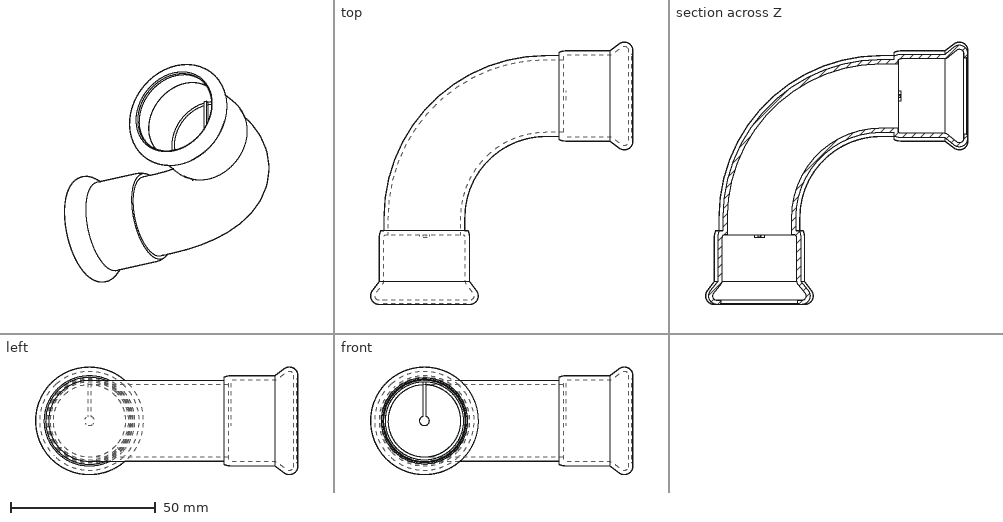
import cadquery as cq
import math

overall_size = 90.6

pipe_radius = 28.0 / 2
pipe_bore_radius = 25.0 / 2
wall = pipe_radius - pipe_bore_radius

socket_radius = 31.3 / 2
socket_bore_radius = 28.2 / 2
bead_radius = 37.2 / 2
mouth_radius = 28.8 / 2
mouth_chamfer = 0.45
cone_end = 8.0
shoulder_start = 23.1
socket_end = 25.55
shoulder_drop = 0.5
stop_start = socket_end - wall
stop_radius = 27.0 / 2
tangent_length = 30.1

bead_arc_radius = bead_radius - socket_radius
groove_arc_radius = bead_arc_radius - wall
cone_angle = math.acos(bead_arc_radius / (cone_end - bead_arc_radius))

marker_disc_radius = 3.35 / 2
marker_bar_width = 1.1
marker_thickness = 0.9

axis_length = overall_size - bead_radius
bend_radius = axis_length - tangent_length

ends = [
    cq.Plane(origin=(0, -axis_length, 0), xDir=(0, 0, 1), normal=(0, 1, 0)),
    cq.Plane(origin=(axis_length, 0, 0), xDir=(0, 0, 1), normal=(-1, 0, 0)),
]


def bead_point(arc_radius, angle):
    """Point (radius, depth) on an arc around the bead centre, at an angle from the inward axis."""
    return (
        socket_radius + arc_radius * math.sin(angle),
        bead_arc_radius + arc_radius * math.cos(angle),
    )


def shoulder_arc_middle(start, end):
    """Middle of an arc that leaves a cylinder tangentially at start and closes in to end."""
    drop = start[0] - end[0]
    length = end[1] - start[1]
    radius = (drop**2 + length**2) / (2 * drop)
    half_sweep = math.atan2(drop, length)
    return (
        start[0] - radius * (1 - math.cos(half_sweep)),
        start[1] + radius * math.sin(half_sweep),
    )


def make_end(plane):
    """Straight pipe stub and socket, revolved from a (radius, depth) profile."""
    outer_shoulder = (socket_radius, shoulder_start)
    outer_shoulder_end = (socket_radius - shoulder_drop, socket_end)
    inner_shoulder = (socket_bore_radius, shoulder_start)
    inner_shoulder_end = (stop_radius, stop_start)
    arc_middle_angle = (cone_angle + math.pi) / 2
    bend_start = (socket_radius - wall, cone_end)
    bend_middle = (
        socket_radius - wall * math.cos((math.pi / 2 - cone_angle) / 2),
        cone_end - wall * math.sin((math.pi / 2 - cone_angle) / 2),
    )
    bend_end = (
        socket_radius - wall * math.sin(cone_angle),
        cone_end - wall * math.cos(cone_angle),
    )
    profile = (
        cq.Workplane("XZ")
        .moveTo(mouth_radius, mouth_chamfer)
        .lineTo(mouth_radius + mouth_chamfer, 0)
        .lineTo(socket_radius, 0)
        .threePointArc(bead_point(bead_arc_radius, arc_middle_angle), bead_point(bead_arc_radius, cone_angle))
        .lineTo(socket_radius, cone_end)
        .lineTo(*outer_shoulder)
        .threePointArc(shoulder_arc_middle(outer_shoulder, outer_shoulder_end), outer_shoulder_end)
        .lineTo(pipe_radius, socket_end)
        .lineTo(pipe_radius, tangent_length)
        .lineTo(pipe_bore_radius, tangent_length)
        .lineTo(pipe_bore_radius, stop_start)
        .lineTo(*inner_shoulder_end)
        .threePointArc(shoulder_arc_middle(inner_shoulder, inner_shoulder_end), inner_shoulder)
        .lineTo(socket_bore_radius, cone_end)
        .lineTo(*bend_start)
        .threePointArc(bend_middle, bend_end)
        .lineTo(*bead_point(groove_arc_radius, cone_angle))
        .threePointArc(bead_point(groove_arc_radius, arc_middle_angle), bead_point(groove_arc_radius, math.pi))
        .lineTo(mouth_radius, wall)
        .close()
    )
    end = profile.revolve(360, (0, 0, 0), (0, 1, 0))
    return cq.Workplane(end.val().moved(cq.Location(plane)))


def make_bend():
    """Quarter-turn pipe around a centre inside the elbow."""
    return (
        cq.Workplane("XZ", origin=(0, -bend_radius, 0))
        .circle(pipe_radius)
        .circle(pipe_bore_radius)
        .revolve(90, (bend_radius, 0, 0), (bend_radius, -1, 0))
    )


def make_elbow():
    elbow = make_bend()
    for plane in ends:
        elbow = elbow.union(make_end(plane))
    return elbow


def make_marker(plane):
    """Disc on the socket axis, held by a bar that reaches up over the pipe stop."""
    base = cq.Workplane(plane).workplane(offset=stop_start - marker_thickness)
    disc = base.circle(marker_disc_radius).extrude(marker_thickness)
    bar = (
        base.center(stop_radius / 2, 0)
        .rect(stop_radius, marker_bar_width)
        .extrude(marker_thickness)
    )
    return disc.union(bar)


elbow = make_elbow()
markers = [make_marker(plane) for plane in ends]

result = cq.Compound.makeCompound([elbow.val(), *[marker.val() for marker in markers]])